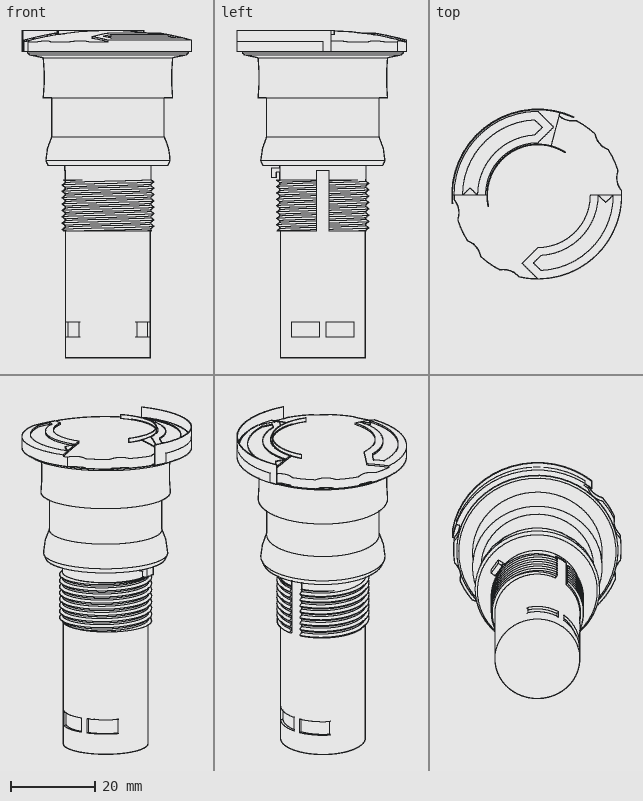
import cadquery as cq
import math

total_height = 77.8

rim_radius = 19.9
rim_bottom = 72.75
dome_sag = 2.7
dome_radius = (rim_radius**2 + dome_sag**2) / (2 * dome_sag)

scallop_angles = [10, 40, 70, 190, 220, 250]
scallop_floor_radius = 19.1
scallop_cutter_radius = 4.8
scallop_edge_round = 0.6

arrow_rise = 0.4
arrow_inner_radius = 12.45
arrow_outer_radius = rim_radius
arrow_mid_radius = (arrow_inner_radius + arrow_outer_radius) / 2
arrow_tip_length = 3.7
channel_inner_radius = 14.3
channel_outer_radius = 17.9
channel_shoulder_x = 0.8
channel_tip_length = 1.1
channel_tail_notch = 1.7

sector_rise = 0.15
sector_start_angle = 75
sector_end_angle = 180
wall_thickness = 0.15
outer_wall_radius = 20.5
outer_wall_start_angle = 65.3
outer_wall_end_angle = 185.5
inner_wall_radius = 12.1
inner_wall_start_angle = 57.4
inner_wall_end_angle = 193.0
inner_wall_bottom = 76.25

flange_radius = 19.1
flange_bottom = 72.0
flange_chamfer = 0.5
skirt_top = 71.3
skirt_radius = 15.4
skirt_waist_radius = 15.2
skirt_bottom = 61.8
neck_radius = 13.4
neck_bottom = 52.5
flare_mid_radius = 14.4
flare_mid_height = 49.8
flare_radius = 14.8
flare_bottom = 46.8
collar_bottom = 45.7
collar_chamfer = 0.55
barrel_radius = 10.1
sleeve_radius = 10.3

thread_bottom = 30.2
thread_length = 12.05
thread_turns = 8
thread_pitch = thread_length / thread_turns
thread_depth = 0.7
thread_base_width = 1.3
thread_root_overlap = 0.15
thread_start_angle = 104

keyway_width = 3.0
keyway_top = 44.5

hook_width = 3.0
hook_reach = 12.2
hook_top = 45.1
hook_bottom = 42.8
hook_arm_thickness = 1.0
hook_leg_thickness = 1.2

window_bottom = 5.0
window_top = 8.5
window_inner_y = 0.8
window_outer_y = 7.4
window_depth = 0.6

clearance = 1.55


def polar(radius, angle):
    return (radius * math.cos(math.radians(angle)), radius * math.sin(math.radians(angle)))


def arc_band(inner_radius, outer_radius, start_angle, end_angle, bottom, top):
    """Ring segment standing between two heights."""
    middle_angle = (start_angle + end_angle) / 2
    return (
        cq.Workplane("XY", origin=(0, 0, bottom))
        .moveTo(*polar(inner_radius, start_angle))
        .lineTo(*polar(outer_radius, start_angle))
        .threePointArc(polar(outer_radius, middle_angle), polar(outer_radius, end_angle))
        .lineTo(*polar(inner_radius, end_angle))
        .threePointArc(polar(inner_radius, middle_angle), polar(inner_radius, start_angle))
        .close()
        .extrude(top - bottom)
    )


def trim_to_dome(blank, rise):
    """Cut a blank's top to the dome, lifted by the given rise."""
    center_height = total_height - dome_radius + rise
    return blank.intersect(cq.Workplane("XY", origin=(0, 0, center_height)).sphere(dome_radius))


def make_rim():
    height = total_height + clearance - rim_bottom
    rim = cq.Workplane("XY", origin=(0, 0, rim_bottom)).circle(rim_radius).extrude(height)
    cutter_distance = scallop_floor_radius + scallop_cutter_radius
    scallops = (
        cq.Workplane("XY", origin=(0, 0, rim_bottom))
        .pushPoints([polar(cutter_distance, angle) for angle in scallop_angles])
        .circle(scallop_cutter_radius)
        .extrude(height)
    )
    scallop_edges = rim.cut(scallops).edges("|Z").edges("not(>X)")
    return trim_to_dome(scallop_edges.fillet(scallop_edge_round), 0)


def make_arrow():
    """Arrow running clockwise from its tail on +X to its tip just past -Y."""
    height = total_height + clearance - rim_bottom
    plane = cq.Workplane("XY", origin=(0, 0, rim_bottom))
    outline = (
        plane.moveTo(arrow_inner_radius, 0)
        .lineTo(arrow_outer_radius, 0)
        .threePointArc(polar(arrow_outer_radius, -45), (0, -arrow_outer_radius))
        .lineTo(-arrow_tip_length, -arrow_mid_radius)
        .lineTo(0, -arrow_inner_radius)
        .threePointArc(polar(arrow_inner_radius, -45), (arrow_inner_radius, 0))
        .close()
        .extrude(height)
    )
    shoulder_outer_y = -math.sqrt(channel_outer_radius**2 - channel_shoulder_x**2)
    shoulder_inner_y = -math.sqrt(channel_inner_radius**2 - channel_shoulder_x**2)
    channel_mid_radius = (channel_inner_radius + channel_outer_radius) / 2
    channel = (
        plane.moveTo(channel_inner_radius, 0)
        .lineTo(channel_mid_radius, -channel_tail_notch)
        .lineTo(channel_outer_radius, 0)
        .threePointArc(polar(channel_outer_radius, -45), (channel_shoulder_x, shoulder_outer_y))
        .lineTo(-channel_tip_length, -channel_mid_radius)
        .lineTo(channel_shoulder_x, shoulder_inner_y)
        .threePointArc(polar(channel_inner_radius, -45), (channel_inner_radius, 0))
        .close()
        .extrude(height)
    )
    return trim_to_dome(outline.cut(channel), arrow_rise)


def make_head():
    arrow = make_arrow()
    opposite_arrow = arrow.rotate((0, 0, 0), (0, 0, 1), 180)
    outer_wall_inside = outer_wall_radius - wall_thickness
    inner_wall_inside = inner_wall_radius - wall_thickness
    sector = arc_band(
        inner_wall_inside, outer_wall_inside, sector_start_angle, sector_end_angle,
        rim_bottom, total_height + clearance,
    )
    outer_wall = arc_band(
        outer_wall_inside, outer_wall_radius, outer_wall_start_angle, outer_wall_end_angle,
        rim_bottom, total_height,
    )
    inner_wall = arc_band(
        inner_wall_inside, inner_wall_radius, inner_wall_start_angle, inner_wall_end_angle,
        inner_wall_bottom, total_height,
    )
    head = make_rim().union(trim_to_dome(sector, sector_rise))
    return head.union(arrow).union(opposite_arrow).union(outer_wall).union(inner_wall)


def make_body():
    """Flange, skirt, neck, flared collar, sleeve and barrel as one turned shape."""
    return (
        cq.Workplane("XZ")
        .moveTo(0, 0)
        .lineTo(barrel_radius, 0)
        .lineTo(barrel_radius, thread_bottom)
        .lineTo(sleeve_radius, thread_bottom)
        .lineTo(sleeve_radius, collar_bottom)
        .lineTo(flare_radius - collar_chamfer, collar_bottom)
        .lineTo(flare_radius, flare_bottom)
        .threePointArc((flare_mid_radius, flare_mid_height), (neck_radius, neck_bottom))
        .lineTo(neck_radius, skirt_bottom)
        .lineTo(skirt_radius, skirt_bottom)
        .threePointArc(
            (skirt_waist_radius, (skirt_bottom + skirt_top) / 2), (skirt_radius, skirt_top)
        )
        .lineTo(flange_radius - flange_chamfer, flange_bottom)
        .lineTo(flange_radius, flange_bottom + flange_chamfer)
        .lineTo(flange_radius, rim_bottom)
        .lineTo(0, rim_bottom)
        .close()
        .revolve(360, (0, 0, 0), (0, 1, 0))
    )


def make_thread():
    """Right-hand V thread, run past both ends and trimmed flat."""
    helix = cq.Wire.makeHelix(thread_pitch, thread_length + 2 * thread_pitch, sleeve_radius)
    root_radius = sleeve_radius - thread_root_overlap
    ridge = (
        cq.Workplane("XZ")
        .moveTo(root_radius, -thread_base_width / 2)
        .lineTo(sleeve_radius + thread_depth, 0)
        .lineTo(root_radius, thread_base_width / 2)
        .close()
        .sweep(cq.Workplane(helix), isFrenet=True)
        .rotate((0, 0, 0), (0, 0, 1), thread_start_angle)
        .translate((0, 0, thread_bottom - thread_pitch))
    )
    envelope = (
        cq.Workplane("XY", origin=(0, 0, thread_bottom))
        .circle(sleeve_radius + thread_depth + clearance)
        .extrude(thread_length)
    )
    return ridge.intersect(envelope)


def make_keyway():
    height = keyway_top - thread_bottom
    crest_radius = sleeve_radius + thread_depth
    plane = cq.Workplane("XY", origin=(0, 0, thread_bottom))
    ring = plane.circle(crest_radius + clearance).circle(barrel_radius).extrude(height)
    band = plane.center(-crest_radius, 0).rect(crest_radius, keyway_width).extrude(height)
    return ring.intersect(band)


def make_hook():
    arm_root = barrel_radius - clearance
    arm_bottom = hook_top - hook_arm_thickness
    leg_inside = hook_reach - hook_leg_thickness
    return (
        cq.Workplane("YZ")
        .moveTo(arm_root, hook_top)
        .lineTo(hook_reach, hook_top)
        .lineTo(hook_reach, hook_bottom)
        .lineTo(leg_inside, hook_bottom)
        .lineTo(leg_inside, arm_bottom)
        .lineTo(arm_root, arm_bottom)
        .close()
        .extrude(hook_width / 2, both=True)
    )


def make_windows():
    """Four pockets, two on each X side, with floors concentric to the barrel."""
    height = window_top - window_bottom
    plane = cq.Workplane("XY", origin=(0, 0, window_bottom))
    ring = plane.circle(barrel_radius + clearance).circle(barrel_radius - window_depth).extrude(height)
    middle_y = (window_inner_y + window_outer_y) / 2
    bands = (
        plane.pushPoints([(0, middle_y), (0, -middle_y)])
        .rect(2 * (barrel_radius + clearance), window_outer_y - window_inner_y)
        .extrude(height)
    )
    return ring.intersect(bands)


result = (
    make_body()
    .union(make_thread())
    .cut(make_keyway())
    .cut(make_windows())
    .union(make_hook())
    .union(make_head())
)